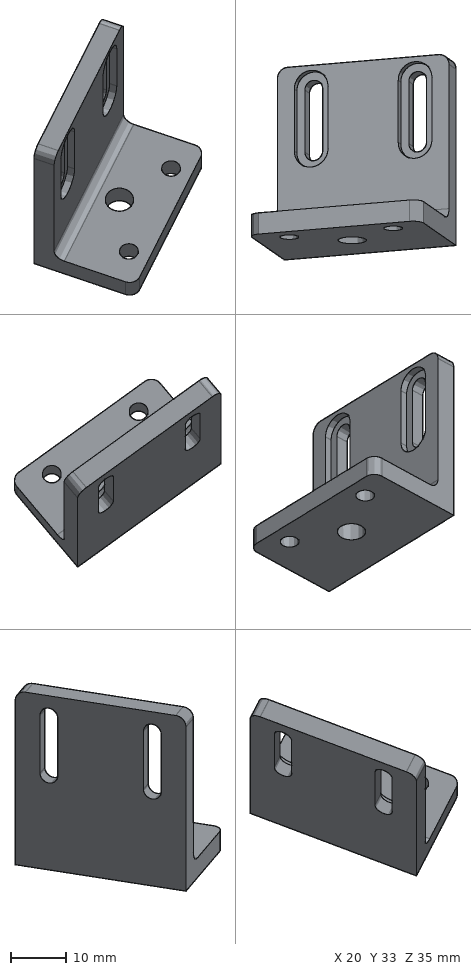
import cadquery as cq

base_length = 20.0
width = 33.0
height = 35.0
thickness = 4.0
bend_radius = 2.0
corner_radius = 2.0

clearance_diameter = 3.4
hole_spacing = 20.0
small_hole_x = 16.0
large_hole_diameter = 5.1
large_hole_x = base_length / 2
slot_length = 15.0
slot_recess_depth = 1.4
slot_recess_margin = 1.55
slot_center_drop = 10.0


def bracket_body():
    """L-shaped plate with a filleted inside bend and rounded free corners."""
    upright = cq.Workplane("XY").box(thickness, width, height, centered=(False, True, False))
    base = cq.Workplane("XY").box(base_length, width, thickness, centered=(False, True, False))
    body = upright.union(base)
    inside_bend = cq.selectors.NearestToPointSelector((thickness, 0, thickness))
    body = body.edges(inside_bend).fillet(bend_radius)
    body = body.faces(">Z").edges("|X").fillet(corner_radius)
    return body.faces(">X").edges("|Z").fillet(corner_radius)


def base_holes():
    """Cutters for the two small holes and the larger central hole."""
    small = (
        cq.Workplane("XY")
        .pushPoints([(small_hole_x, side * hole_spacing / 2) for side in (-1, 1)])
        .circle(clearance_diameter / 2)
        .extrude(thickness)
    )
    large = (
        cq.Workplane("XY")
        .center(large_hole_x, 0)
        .circle(large_hole_diameter / 2)
        .extrude(thickness)
    )
    return small.union(large)


def slot_pair(start_x, margin):
    """Two vertical slots from start_x to the inner face, enlarged all round by margin."""
    slot_z = height - slot_center_drop
    return (
        cq.Workplane("YZ", origin=(start_x, 0, 0))
        .pushPoints([(side * hole_spacing / 2, slot_z) for side in (-1, 1)])
        .slot2D(slot_length + 2 * margin, clearance_diameter + 2 * margin, 90)
        .extrude(thickness - start_x)
    )


def upright_slots():
    """Cutters for the adjustment slots and their screw-head recesses on the inner face."""
    through_slots = slot_pair(0, 0)
    recesses = slot_pair(thickness - slot_recess_depth, slot_recess_margin)
    return through_slots.union(recesses)


result = bracket_body().cut(base_holes()).cut(upright_slots())